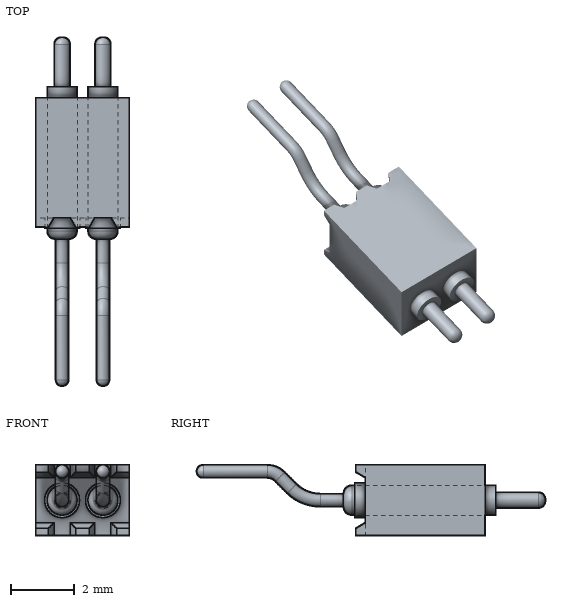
import cadquery as cq
import math


housing_width = 2.92
housing_height = 2.21
housing_depth = 3.75
pin_pitch = 1.28
boss_radius = 0.55
boss_length = 0.33

foot_length = 0.3
foot_base_width = 0.77
foot_base_height = 0.4
foot_taper = 0.17

sleeve_radius = 0.47
sleeve_front = 0.68
sleeve_rounding = 0.26
sleeve_back_length = 0.34

contact_radius = 0.25
contact_length = 1.55
contact_tip_rounding = 0.23

lead_radius = 0.21
lead_end = 5.27
first_bend_start = 1.41
first_bend_radius = 1.25
second_bend_radius = 0.56
bend_angle = math.radians(45)
lead_rise = housing_height / 2 - lead_radius

pin_positions = [-pin_pitch / 2, pin_pitch / 2]


def cylinder(radius, y_start, y_end, x=0):
    """Cylinder along Y, from y_start to a larger y_end."""
    return cq.Workplane("XZ", origin=(x, y_end, 0)).circle(radius).extrude(y_end - y_start)


def make_feet():
    """Two rows of three feet, where tapered rails cross tapered columns."""
    half_height = housing_height / 2
    base_z = half_height - foot_base_height
    tip_z = base_z + foot_taper
    half_base = foot_base_width / 2
    half_tip = half_base - foot_taper

    top_rail = (
        cq.Workplane("YZ", origin=(-housing_width / 2, 0, 0))
        .polyline([(0, base_z), (0, half_height), (-foot_length, half_height), (-foot_length, tip_z)])
        .close()
        .extrude(housing_width)
    )
    rails = top_rail.union(top_rail.mirror("XY"))
    columns = (
        cq.Workplane("XY", origin=(0, 0, -half_height))
        .pushPoints([(-pin_pitch, 0), (0, 0), (pin_pitch, 0)])
        .eachpoint(
            lambda place: cq.Workplane("XY")
            .polyline([(-half_base, 0), (half_base, 0), (half_tip, -foot_length), (-half_tip, -foot_length)])
            .close()
            .extrude(housing_height)
            .val()
            .moved(place)
        )
    )
    return rails.intersect(columns)


def make_housing():
    """Block with feet and a hollow boss around each pin."""
    body = cq.Workplane("XY").box(housing_width, housing_depth, housing_height, centered=(True, False, True))
    body = body.union(make_feet())
    for x in pin_positions:
        body = body.union(cylinder(boss_radius, -boss_length, 0, x))
    for x in pin_positions:
        body = body.cut(cylinder(sleeve_radius, -boss_length, housing_depth, x))
    return body


def make_lead():
    """Round wire with an upward S-bend and a hemispherical tip."""

    def on_first_bend(angle):
        y = -first_bend_start - first_bend_radius * math.sin(angle)
        return y, first_bend_radius * (1 - math.cos(angle))

    slope_start = on_first_bend(bend_angle)
    slope_end_z = lead_rise - second_bend_radius * (1 - math.cos(bend_angle))
    slope_end_y = slope_start[0] - (slope_end_z - slope_start[1]) / math.tan(bend_angle)
    second_bend_end = slope_end_y - second_bend_radius * math.sin(bend_angle)

    def on_second_bend(angle):
        y = second_bend_end + second_bend_radius * math.sin(angle)
        return y, lead_rise - second_bend_radius * (1 - math.cos(angle))

    tip_centre = -lead_end + lead_radius
    path = (
        cq.Workplane("YZ")
        .moveTo(-sleeve_front, 0)
        .lineTo(-first_bend_start, 0)
        .threePointArc(on_first_bend(bend_angle / 2), slope_start)
        .lineTo(slope_end_y, slope_end_z)
        .threePointArc(on_second_bend(bend_angle / 2), (second_bend_end, lead_rise))
        .lineTo(tip_centre, lead_rise)
    )
    wire = cq.Workplane("XZ", origin=(0, -sleeve_front, 0)).circle(lead_radius).sweep(path)
    tip = (
        cq.Workplane("XY", origin=(0, tip_centre, lead_rise))
        .lineTo(lead_radius, 0)
        .radiusArc((0, -lead_radius), lead_radius)
        .close()
        .revolve(360, (0, 0), (0, 1))
    )
    return wire.union(tip)


def make_pin(x):
    """Sleeve with a straight contact at the back and a bent lead at the front."""
    sleeve_back = housing_depth + sleeve_back_length
    sleeve = cylinder(sleeve_radius, -sleeve_front, sleeve_back).faces("<Y").edges().fillet(sleeve_rounding)
    contact = cylinder(contact_radius, sleeve_back, sleeve_back + contact_length)
    contact = contact.faces(">Y").edges().fillet(contact_tip_rounding)
    return sleeve.union(contact).union(make_lead()).translate((x, 0, 0))


housing = make_housing()
pins = [make_pin(x) for x in pin_positions]

result = cq.Compound.makeCompound([housing.solids().val(), *[pin.solids().val() for pin in pins]])